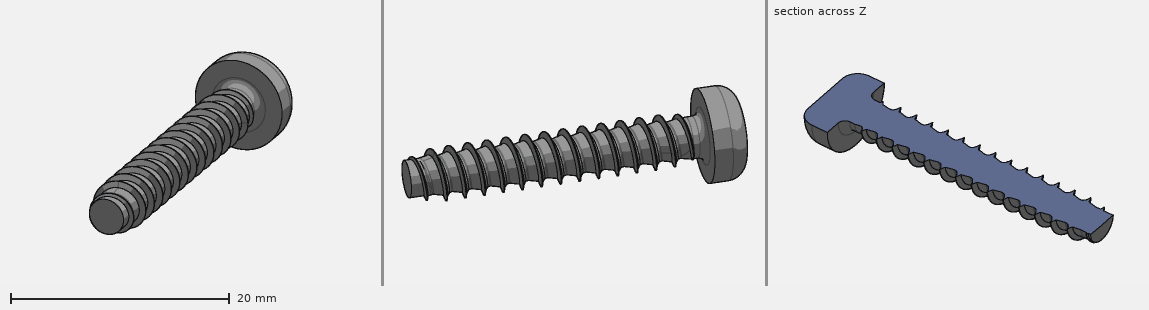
import cadquery as cq
import math


head_dia = 8.8
head_height = 3.49
head_rim_height = 1.75
head_radius = head_dia / 2
head_edge_radius = head_height - head_rim_height

shank_length = 28.0
neck_radius = 1.95
neck_length = 1.34
neck_fillet = 0.75
core_radius = 1.74
core_start = 2.4
tip_cone_height = 0.03

pitch = 1.8
crest_radius = 2.5
runin_crest_radius = 2.05
runout_crest_radius = 1.82
crest_width = 0.07
crest_depth_at_x = 1.46
runin_start_turn = -0.5
full_start_turn = 1.0
full_end_turn = 13.25
runout_end_turn = 14.65
thread_inner_radius = 1.4

thread_profile = [
    (-0.67, 1.73, 1.73, 1.73),
    (-0.40, 1.76, 1.79, 1.72),
    (-0.16, 1.80, 2.10, 1.45),
    (-crest_width / 2, runin_crest_radius, crest_radius, runout_crest_radius),
    (crest_width / 2, runin_crest_radius, crest_radius, runout_crest_radius),
    (0.23, 1.85, 1.95, 1.45),
    (1.12, 1.735, 1.735, 1.735),
]


def make_head():
    arc_reach = head_edge_radius * math.sqrt(0.5)
    arc_centre_radius = head_radius - head_edge_radius
    arc_middle = (arc_centre_radius + arc_reach, -head_rim_height - arc_reach)
    return (
        cq.Workplane("XZ")
        .moveTo(0, 0)
        .lineTo(head_radius, 0)
        .lineTo(head_radius, -head_rim_height)
        .threePointArc(arc_middle, (arc_centre_radius, -head_height))
        .lineTo(0, -head_height)
        .close()
        .revolve(360, (0, 0, 0), (0, 1, 0))
    )


def make_shank():
    fillet_outer = neck_radius + neck_fillet
    fillet_reach = neck_fillet * math.sqrt(0.5)
    fillet_middle = (fillet_outer - fillet_reach, neck_fillet - fillet_reach)
    return (
        cq.Workplane("XZ")
        .moveTo(0, 0)
        .lineTo(fillet_outer, 0)
        .threePointArc(fillet_middle, (neck_radius, neck_fillet))
        .lineTo(neck_radius, neck_length)
        .lineTo(core_radius, core_start)
        .lineTo(core_radius, shank_length - tip_cone_height)
        .lineTo(0, shank_length)
        .close()
        .revolve(360, (0, 0, 0), (0, 1, 0))
    )


def helix_edge(start_radius, end_radius, start_depth, turns):
    """Right-handed helix whose radius changes evenly from start to end."""
    height = pitch * turns
    growth = end_radius - start_radius
    if growth == 0:
        wire = cq.Wire.makeHelix(pitch, height, start_radius)
    else:
        slant = math.hypot(height, growth)
        cone_angle = math.degrees(math.atan2(growth, height))
        wire = cq.Wire.makeHelix(slant / turns, slant, start_radius, angle=cone_angle)
    return wire.translate(cq.Vector(0, 0, start_depth)).Edges()[0]


def thread_segment(start_turn, end_turn, start_section, end_section):
    """Solid between two thread sections, each a closed list of (axial offset, radius)."""
    start_depth = crest_depth_at_x + pitch * start_turn
    turns = end_turn - start_turn
    helices = [
        helix_edge(start_radius, end_radius, start_depth + offset, turns)
        for (offset, start_radius), (_, end_radius) in zip(start_section, end_section)
    ]
    faces = [
        cq.Face.makeRuledSurface(helices[i - 1], helices[i])
        for i in range(len(helices))
    ]
    for at in (0, 1):
        corners = [helix.positionAt(at) for helix in helices]
        faces.append(cq.Face.makeFromWires(cq.Wire.makePolygon(corners, close=True)))
    sewn = cq.Shell.makeShell(faces)
    solid = cq.Solid.makeSolid(sewn)
    return solid.rotate(cq.Vector(0, 0, 0), cq.Vector(0, 0, 1), 360 * start_turn)


def closed_section(offsets, radii):
    """Thread profile closed below the core surface, as a list of (axial offset, radius)."""
    inner_points = [(offsets[-1], thread_inner_radius), (offsets[0], thread_inner_radius)]
    return list(zip(offsets, radii)) + inner_points


def make_thread_segments():
    offsets, runin_radii, full_radii, runout_radii = zip(*thread_profile)
    runin = closed_section(offsets, runin_radii)
    full = closed_section(offsets, full_radii)
    runout = closed_section(offsets, runout_radii)
    return [
        thread_segment(runin_start_turn, full_start_turn, runin, full),
        thread_segment(full_start_turn, full_end_turn, full, full),
        thread_segment(full_end_turn, runout_end_turn, full, runout),
    ]


def make_screw():
    threaded_zone = (
        cq.Workplane("XY", origin=(0, 0, neck_length))
        .circle(head_radius)
        .extrude(shank_length - tip_cone_height - neck_length)
    )
    screw = make_shank()
    for segment in make_thread_segments():
        screw = screw.union(threaded_zone.intersect(cq.Workplane(segment)))
    return screw.union(make_head())


result = make_screw().rotate((0, 0, 0), (1, 0, 0), 90)